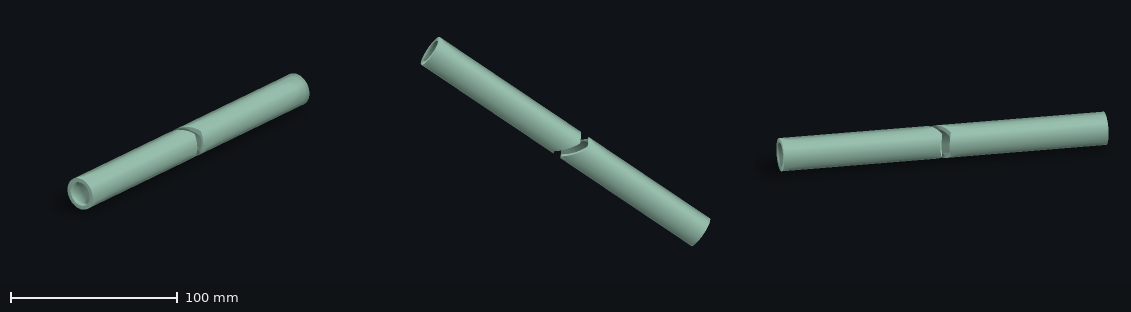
import cadquery as cq

length = 200.0
outer_diameter = 20.0
bore_diameter = 15.0
gap = 5.5
gap_center_y = -4.0
bend_x = 6.5
bend_rise = 4.8
side_rise = 3.2

outer_radius = outer_diameter / 2
half_length = length / 2
overhang = 2.0
side_x = outer_radius + overhang
side_slope = (bend_rise - side_rise) / (outer_radius - bend_x)
overhang_rise = side_rise - overhang * side_slope


def make_tube():
    """Full-length tube along Y, centered on the origin."""
    return (
        cq.Workplane("XZ")
        .circle(outer_radius)
        .circle(bore_diameter / 2)
        .extrude(half_length, both=True)
    )


def make_end_region(center_y, end_y):
    """Prism through Z that lies between a zigzag edge and a square tube end."""
    return (
        cq.Workplane("XY")
        .moveTo(-side_x, end_y)
        .lineTo(-side_x, center_y - overhang_rise)
        .lineTo(-bend_x, center_y - bend_rise)
        .lineTo(bend_x, center_y + bend_rise)
        .lineTo(side_x, center_y + overhang_rise)
        .lineTo(side_x, end_y)
        .close()
        .extrude(outer_diameter, both=True)
    )


rear_tube = make_tube().intersect(make_end_region(gap_center_y + gap / 2, half_length))

front_tube = make_tube().intersect(make_end_region(gap_center_y - gap / 2, -half_length))

result = cq.Compound.makeCompound([rear_tube.solids().val(), front_tube.solids().val()])